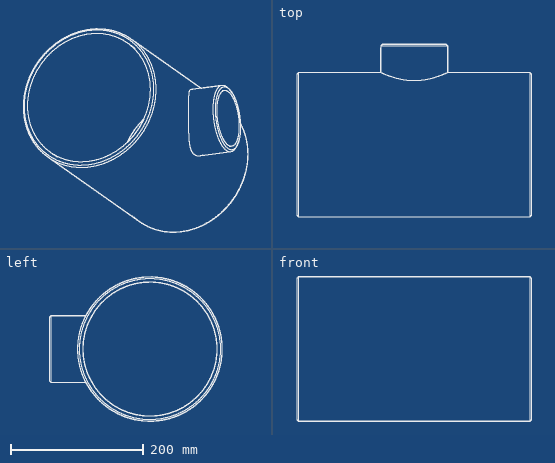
import cadquery as cq

run_length = 355.6
run_diameter = 219.08
branch_diameter = 101.6
branch_reach = 152.4
wall = 8.18

bevel = wall / 3

run_radius = run_diameter / 2
branch_radius = branch_diameter / 2


def make_run_bar():
    """Solid run cylinder centred on the origin, bevelled at both ends."""
    bar = cq.Workplane("YZ").circle(run_radius).extrude(run_length / 2, both=True)
    return bar.faces("<X or >X").chamfer(bevel)


def make_branch_bar():
    """Solid branch cylinder from the run axis out to +Y, bevelled at its open end."""
    bar = cq.Workplane("XZ").circle(branch_radius).extrude(-branch_reach)
    return bar.faces(">Y").chamfer(bevel)


def make_bores():
    """Run bore through the full length, joined to the bore of the branch."""
    run_bore = cq.Workplane("YZ").circle(run_radius - wall).extrude(run_length / 2, both=True)
    branch_bore = cq.Workplane("XZ").circle(branch_radius - wall).extrude(-branch_reach)
    return run_bore.union(branch_bore)


result = make_run_bar().union(make_branch_bar()).cut(make_bores())